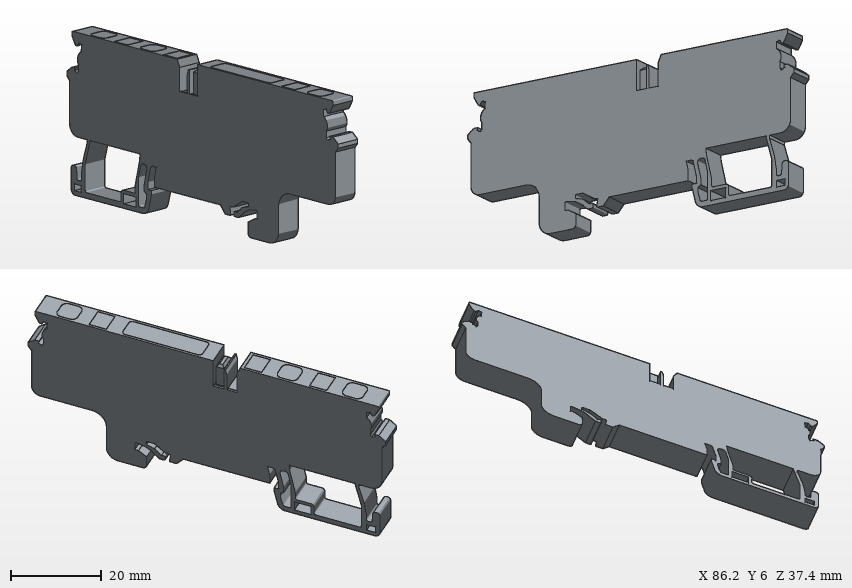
import cadquery as cq
import math

LENGTH = 86.2
THICKNESS = 6.0
HEIGHT = 37.4
HALF_LENGTH = LENGTH / 2
HALF_THICKNESS = THICKNESS / 2
END_WALL_X = 42.2
BODY_BOTTOM = 13.45
RAIL_SEAT = 6.7

FOOT_LEFT = -41.7
FOOT_TIP_TOP = 6.8
FOOT_TIP_GROOVE = 3.6
STRUT_LEFT = -38.45
STRUT_RIGHT = -37.2
FOOT_FLOOR = 1.3
FOOT_STEP_LEFT = -25.9
FOOT_STEP_RIGHT = -21.4
FOOT_STEP_TOP = 4.1
WINDOW_SILL = 1.0
SLOT_TOP = 11.4
LATCH_RIGHT = -16.2
LATCH_LEDGE = 5.8
RAIL_SEAT_LEFT = -15.2
CLIP_BOTTOM = 4.9
FINGER_LEFT = 10.0
HOOK_LEFT = 14.5
HOOK_RIGHT = 24.2
HOOK_BOTTOM = 1.0

NOTCH_LEFT = -7.2
NOTCH_RIGHT = -1.55
NOTCH_FLOOR = 30.2
NOTCH_LEAD_IN = 0.8
NOTCH_LEAD_IN_DEPTH = 1.7
PLATE_LEFT = -4.8
PLATE_RIGHT = -4.1
PLATE_TOP = 35.7
PLATE_BEVEL = 0.35
PLATE_BEVEL_HEIGHT = 1.3
POST_LEFT = -3.8
POST_RIGHT = -1.8
POST_WIDTH = 4.1
POST_BEVEL = 0.6

RECESS_DEPTH = 0.1
RECESS_WIDTH = 4.8
RECESS_PITCH = 7.85
FIRST_RECESS_X = 34.4
ROUND_RECESS_LENGTH = 4.9
ROUND_RECESS_RADIUS = 1.4
SQUARE_RECESS_LENGTH = 4.1
LABEL_CENTER_X = 11.2
LABEL_LENGTH = 19.2
LABEL_RADIUS = 0.9


def rounded_wire(corners):
    """Closed XZ outline from (x, z) or (x, z, radius) corners, each radius rounding its corner."""
    plan = []
    count = len(corners)
    for i, corner in enumerate(corners):
        here = cq.Vector(corner[0], corner[1])
        radius = corner[2] if len(corner) > 2 else 0
        if radius == 0:
            plan.append((here, None, here))
            continue
        before = corners[i - 1]
        after = corners[(i + 1) % count]
        to_before = (cq.Vector(before[0], before[1]) - here).normalized()
        to_after = (cq.Vector(after[0], after[1]) - here).normalized()
        half_angle = to_before.getAngle(to_after) / 2
        setback = radius / math.tan(half_angle)
        bisector = (to_before + to_after).normalized()
        middle = here + bisector * (radius / math.sin(half_angle) - radius)
        plan.append((here + to_before * setback, middle, here + to_after * setback))

    wire = cq.Workplane("XZ", origin=(0, HALF_THICKNESS, 0)).moveTo(plan[0][2].x, plan[0][2].y)
    for start, middle, end in plan[1:] + plan[:1]:
        wire = wire.lineTo(start.x, start.y)
        if middle is not None:
            wire = wire.threePointArc((middle.x, middle.y), (end.x, end.y))
    return wire.close()


def through_plate(corners):
    """Full-thickness plate with the given XZ outline."""
    return rounded_wire(corners).extrude(THICKNESS)


END_PROFILE = [
    (41.5, HEIGHT, 0.35),
    (41.5, 36.4),
    (40.7, 34.9),
    (40.25, 34.3),
    (39.8, 34.3),
    (39.2, 35.1),
    (38.45, 34.8),
    (38.5, 33.3),
    (39.9, 32.2, 2.4),
    (39.65, 30.6),
    (39.4, 30.1),
    (39.4, 28.6),
    (39.7, 28.1),
    (40.6, 28.5),
    (40.4, 29.1),
    (41.5, 29.1),
    (42.5, 28.4),
    (HALF_LENGTH, 27.8),
    (HALF_LENGTH, 26.9),
    (END_WALL_X, 25.9),
]

LEFT_END = [(-corner[0], *corner[1:]) for corner in END_PROFILE]

FOOT = [
    (-END_WALL_X, BODY_BOTTOM, 2.8),
    (-36.7, BODY_BOTTOM),
    (-36.6, 12.8),
    (-37.9, 8.5),
    (STRUT_LEFT, 5.35),
    (STRUT_LEFT, FOOT_TIP_GROOVE, 0.5),
    (-39.8, FOOT_TIP_GROOVE, 0.5),
    (-40.0, FOOT_TIP_TOP, 0.8),
    (FOOT_LEFT, FOOT_TIP_TOP, 0.8),
    (FOOT_LEFT, 0, 1.3),
    (-17.4, 0, 2.1),
    (LATCH_RIGHT, 4.8),
    (LATCH_RIGHT, LATCH_LEDGE),
    (-17.3, LATCH_LEDGE),
    (-17.3, 7.4),
    (-16.4, SLOT_TOP, 0.7),
    (-14.65, SLOT_TOP),
    (RAIL_SEAT_LEFT, 9.1),
    (RAIL_SEAT_LEFT, RAIL_SEAT),
]

CLIP = [
    (5.7, RAIL_SEAT),
    (7.2, CLIP_BOTTOM),
    (9.05, CLIP_BOTTOM, 0.3),
    (8.7, 7.0, 0.35),
    (9.7, 7.0),
    (12.7, 8.9),
    (14.65, 8.9, 0.35),
    (14.6, 8.0),
    (12.6, 7.4),
    (10.95, 6.0),
    (FINGER_LEFT, 6.2, 0.35),
    (FINGER_LEFT, CLIP_BOTTOM, 0.35),
    (11.4, CLIP_BOTTOM),
    (13.5, 6.6),
    (14.65, 7.2),
    (17.3, 7.8, 0.3),
    (17.3, 5.7),
    (16.5, 5.6),
    (HOOK_LEFT, 4.5),
]

HOOK = [
    (HOOK_LEFT, HOOK_BOTTOM, 1.0),
    (HOOK_RIGHT, HOOK_BOTTOM, 2.9),
    (HOOK_RIGHT, BODY_BOTTOM, 3.45),
    (END_WALL_X, BODY_BOTTOM, 2.2),
]

NOTCH = [
    (NOTCH_RIGHT, HEIGHT),
    (NOTCH_RIGHT, NOTCH_FLOOR),
    (NOTCH_LEFT, NOTCH_FLOOR),
    (NOTCH_LEFT, HEIGHT - NOTCH_LEAD_IN_DEPTH),
    (NOTCH_LEFT - NOTCH_LEAD_IN, HEIGHT),
]

NOTCH_PLATE = [
    (PLATE_LEFT, NOTCH_FLOOR - RECESS_DEPTH),
    (PLATE_RIGHT, NOTCH_FLOOR - RECESS_DEPTH),
    (PLATE_RIGHT, PLATE_TOP),
    (PLATE_LEFT + PLATE_BEVEL, PLATE_TOP),
    (PLATE_LEFT, PLATE_TOP - PLATE_BEVEL_HEIGHT),
]

FOOT_WINDOWS = [
    [
        (-35.7, BODY_BOTTOM),
        (-19.8, BODY_BOTTOM),
        (-20.0, 11.9),
        (FOOT_STEP_RIGHT, 5.95),
        (FOOT_STEP_RIGHT, FOOT_STEP_TOP, 0.4),
        (FOOT_STEP_LEFT, FOOT_STEP_TOP, 0.8),
        (FOOT_STEP_LEFT, FOOT_FLOOR, 0.4),
        (STRUT_RIGHT, FOOT_FLOOR, 0.5),
        (STRUT_RIGHT, 7.7),
        (-35.9, 12.8),
    ],
    [
        (-20.3, FOOT_FLOOR, 0.35),
        (-18.45, FOOT_FLOOR, 0.5),
        (-17.8, 3.5),
        (-17.8, 4.65),
        (-18.5, 5.2),
        (-18.5, 6.6),
        (-17.4, SLOT_TOP, 0.95),
        (-19.5, SLOT_TOP, 0.95),
        (-20.3, 8.0),
    ],
    [(-25.1, WINDOW_SILL), (-21.1, WINDOW_SILL), (-21.1, 3.4), (-25.1, 3.4)],
    [(-40.7, WINDOW_SILL), (-38.5, WINDOW_SILL), (-38.5, 2.6), (-40.7, 2.6)],
]


def notch_post():
    """Bevelled post on the notch floor, narrower than the part."""
    base = NOTCH_FLOOR - RECESS_DEPTH
    return (
        cq.Workplane("XY", origin=((POST_LEFT + POST_RIGHT) / 2, 0, base))
        .rect(POST_RIGHT - POST_LEFT, POST_WIDTH)
        .extrude(PLATE_TOP - base)
        .faces(">Z")
        .chamfer(POST_BEVEL)
    )


def recess(center_x, length, top, radius=0):
    """Cutter for a shallow rectangular recess below the level `top`."""
    pocket = (
        cq.Workplane("XY", origin=(center_x, 0, top - RECESS_DEPTH))
        .rect(length, RECESS_WIDTH)
        .extrude(RECESS_DEPTH)
    )
    return pocket.edges("|Z").fillet(radius) if radius else pocket


outline = LEFT_END + FOOT + CLIP + HOOK + END_PROFILE[::-1]
result = through_plate(outline).cut(through_plate(NOTCH))
for window in FOOT_WINDOWS:
    result = result.cut(through_plate(window))

round_centers = [-FIRST_RECESS_X, -FIRST_RECESS_X + 2 * RECESS_PITCH, FIRST_RECESS_X]
square_centers = [
    -FIRST_RECESS_X + RECESS_PITCH,
    -FIRST_RECESS_X + 3 * RECESS_PITCH,
    FIRST_RECESS_X - RECESS_PITCH,
]
for center in round_centers:
    result = result.cut(recess(center, ROUND_RECESS_LENGTH, HEIGHT, ROUND_RECESS_RADIUS))
for center in square_centers:
    result = result.cut(recess(center, SQUARE_RECESS_LENGTH, HEIGHT))
result = result.cut(recess(LABEL_CENTER_X, LABEL_LENGTH, HEIGHT, LABEL_RADIUS))
result = result.cut(recess((NOTCH_LEFT + NOTCH_RIGHT) / 2, NOTCH_RIGHT - NOTCH_LEFT, NOTCH_FLOOR))

result = result.union(through_plate(NOTCH_PLATE)).union(notch_post())